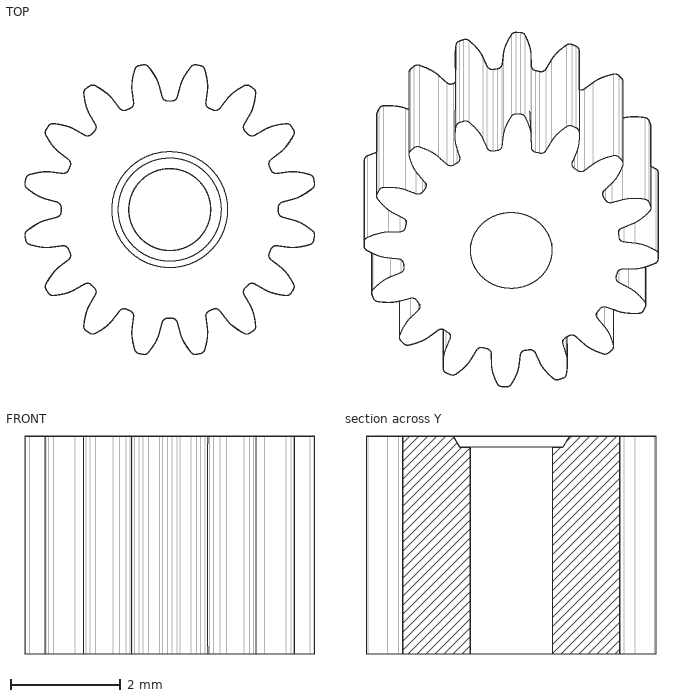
import cadquery as cq
import math

outer_width = 5.32
gear_height = 4.0

tooth_count = 16
pitch_diameter = 4.8
pressure_angle = math.radians(20)
tip_radius = 2.7
tip_round_radius = 0.1
flank_point_count = 6

root_radius = 1.995
root_fillet_radius = 0.1
wall_start_radius = 2.275
wall_slant = math.radians(15)

bore_diameter = 1.5
recess_top_diameter = 2.13
recess_floor_diameter = 1.895
recess_depth = 0.2

tooth_pitch = 2 * math.pi / tooth_count
base_radius = pitch_diameter / 2 * math.cos(pressure_angle)


def polar(radius, angle):
    return radius * math.cos(angle), radius * math.sin(angle)


def offset_point(point, distance, angle):
    step_x, step_y = polar(distance, angle)
    return point[0] + step_x, point[1] + step_y


def rotate(point, angle):
    x, y = point
    return (
        x * math.cos(angle) - y * math.sin(angle),
        x * math.sin(angle) + y * math.cos(angle),
    )


def mirror(point):
    return point[0], -point[1]



tip_round_centre_radius = tip_radius - tip_round_radius
tip_round_angle = math.acos((outer_width / 2 - tip_round_radius) / tip_round_centre_radius)
tip_round_tangent = math.sqrt(tip_round_centre_radius**2 - base_radius**2)
flank_end_roll = (tip_round_tangent + tip_round_radius) / base_radius
flank_start_roll = math.sqrt((wall_start_radius / base_radius) ** 2 - 1)
involute_start_angle = tip_round_angle + math.atan(tip_round_tangent / base_radius) - flank_end_roll


def involute_point(roll):
    radius = base_radius * math.sqrt(1 + roll**2)
    return polar(radius, involute_start_angle + roll - math.atan(roll))


roll_step = (flank_end_roll - flank_start_roll) / (flank_point_count - 1)
flank = [involute_point(flank_start_roll + i * roll_step) for i in range(flank_point_count)]

tip_round_centre = polar(tip_round_centre_radius, tip_round_angle)
flank_normal = involute_start_angle + flank_end_roll - math.pi / 2
tip_round_middle = offset_point(tip_round_centre, tip_round_radius, (tip_round_angle + flank_normal) / 2)
tip_round_end = polar(tip_radius, tip_round_angle)

root_fillet_centre_radius = root_radius + root_fillet_radius
wall_x, wall_y = flank[0]
wall_distance = wall_y * math.cos(wall_slant) - wall_x * math.sin(wall_slant)
root_fillet_angle = wall_slant + math.asin((wall_distance - root_fillet_radius) / root_fillet_centre_radius)
root_fillet_centre = polar(root_fillet_centre_radius, root_fillet_angle)
wall_normal = wall_slant + math.pi / 2
root_normal = root_fillet_angle + math.pi
root_fillet_start = polar(root_radius, root_fillet_angle)
root_fillet_middle = offset_point(root_fillet_centre, root_fillet_radius, (wall_normal + root_normal) / 2)
root_fillet_end = offset_point(root_fillet_centre, root_fillet_radius, wall_normal)


def add_tooth(profile, gap_angle):
    """Add the root of the gap at gap_angle and the tooth that follows it counter-clockwise."""

    def first_side(point):
        return rotate(point, gap_angle)

    def second_side(point):
        return rotate(mirror(point), gap_angle + tooth_pitch)

    root_middle = polar(root_radius, gap_angle)
    tip_middle = polar(tip_radius, gap_angle + tooth_pitch / 2)
    return (
        profile.threePointArc(root_middle, first_side(root_fillet_start))
        .threePointArc(first_side(root_fillet_middle), first_side(root_fillet_end))
        .lineTo(*first_side(flank[0]))
        .spline([first_side(point) for point in flank[1:]], includeCurrent=True)
        .threePointArc(first_side(tip_round_middle), first_side(tip_round_end))
        .threePointArc(tip_middle, second_side(tip_round_end))
        .threePointArc(second_side(tip_round_middle), second_side(flank[-1]))
        .spline([second_side(point) for point in reversed(flank[:-1])], includeCurrent=True)
        .lineTo(*second_side(root_fillet_end))
        .threePointArc(second_side(root_fillet_middle), second_side(root_fillet_start))
    )


def gear_blank():
    profile = cq.Workplane("XY").moveTo(*mirror(root_fillet_start))
    for tooth in range(tooth_count):
        profile = add_tooth(profile, tooth * tooth_pitch)
    return profile.close().extrude(gear_height)


def bore_cutter():
    """Through bore and recess as one solid turned about the Z axis."""
    recess_floor = gear_height - recess_depth
    return (
        cq.Workplane("XZ")
        .lineTo(bore_diameter / 2, 0)
        .lineTo(bore_diameter / 2, recess_floor)
        .lineTo(recess_floor_diameter / 2, recess_floor)
        .lineTo(recess_top_diameter / 2, gear_height)
        .lineTo(0, gear_height)
        .close()
        .revolve(360, (0, 0, 0), (0, 1, 0))
    )


result = gear_blank().cut(bore_cutter())